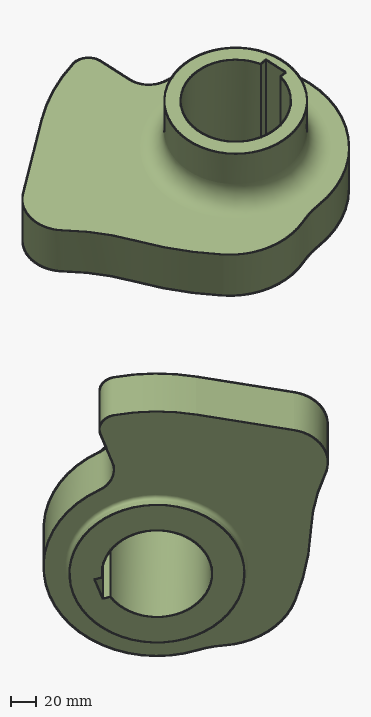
import cadquery as cq
import math

plate_thickness = 47.5
hub_height = 53.76
boss_height = 8.5

hub_radius = 110.0 / 2
hub_fillet = 18.5
boss_radius = 135.0 / 2
boss_fillet = 3.0
bore_radius = 85.0 / 2
key_width = 20.0
key_depth = 4.9

base_radius = 87.5
outer_radius = 152.4
nose_radius = 14.5
step_y = 0.0
step_fillet = 23.0
flank_angle = 210.0
toe_radius = 32.5
toe_lowest_y = -159.2
heel_radius = 64.0
heel_reach_x = 91.25
heel_center_y = -39.0
crown_radius = 255.0
crown_contact_angle = -53.5
hollow_radius = 175.0
side_hollow_radius = 75.0

AXIS = (0.0, 0.0)


def polar(center, radius, angle):
    """Point at a distance and an angle (degrees) from a centre."""
    a = math.radians(angle)
    return (center[0] + radius * math.cos(a), center[1] + radius * math.sin(a))


def toward(start, end, distance):
    """Point at a distance from start along the line to end."""
    t = distance / math.dist(start, end)
    return (start[0] + t * (end[0] - start[0]), start[1] + t * (end[1] - start[1]))


def equidistant(center_a, radius_a, center_b, radius_b):
    """Crossing of two circles that lies to the right of the way from a to b."""
    span = math.dist(center_a, center_b)
    along = (span**2 + radius_a**2 - radius_b**2) / (2 * span)
    across = math.sqrt(radius_a**2 - along**2)
    ux = (center_b[0] - center_a[0]) / span
    uy = (center_b[1] - center_a[1]) / span
    return (center_a[0] + along * ux + across * uy, center_a[1] + along * uy - across * ux)


def arc_to(sketch, start, end, center):
    """Add the minor arc about a centre."""
    middle = ((start[0] + end[0]) / 2, (start[1] + end[1]) / 2)
    return sketch.threePointArc(toward(center, middle, math.dist(center, start)), end)


def cam_outline():
    """Closed chain of tangent arcs and two straight edges."""
    step_center_y = step_y + step_fillet
    step_center_x = -math.sqrt((base_radius + step_fillet) ** 2 - step_center_y**2)
    step_center = (step_center_x, step_center_y)
    nose_center_y = step_y - nose_radius
    nose_center_x = -math.sqrt((outer_radius - nose_radius) ** 2 - nose_center_y**2)
    nose_center = (nose_center_x, nose_center_y)
    normal_x, normal_y = polar(AXIS, 1.0, flank_angle)
    toe_center_y = toe_lowest_y + toe_radius
    toe_center_x = (outer_radius - toe_radius - normal_y * toe_center_y) / normal_x
    toe_center = (toe_center_x, toe_center_y)
    heel_center = (heel_reach_x - heel_radius, heel_center_y)
    crown_center = polar(heel_center, heel_radius - crown_radius, crown_contact_angle)
    hollow_center = equidistant(
        toe_center, toe_radius + hollow_radius, crown_center, crown_radius + hollow_radius
    )
    side_center = equidistant(
        heel_center, heel_radius + side_hollow_radius, AXIS, base_radius + side_hollow_radius
    )

    base_end = toward(AXIS, step_center, base_radius)
    step_start = (step_center_x, step_y)
    step_end = (nose_center_x, step_y)
    nose_end = toward(AXIS, nose_center, outer_radius)
    flank_start = polar(AXIS, outer_radius, flank_angle)
    flank_end = polar(toe_center, toe_radius, flank_angle)
    toe_end = toward(toe_center, hollow_center, toe_radius)
    crown_start = toward(crown_center, hollow_center, crown_radius)
    crown_end = polar(heel_center, heel_radius, crown_contact_angle)
    heel_end = toward(heel_center, side_center, heel_radius)
    base_start = toward(AXIS, side_center, base_radius)
    base_top = (0.0, base_radius)

    sketch = cq.Workplane("XY").moveTo(*base_start).threePointArc(base_top, base_end)
    sketch = arc_to(sketch, base_end, step_start, step_center)
    sketch = sketch.lineTo(*step_end)
    sketch = arc_to(sketch, step_end, nose_end, nose_center)
    sketch = arc_to(sketch, nose_end, flank_start, AXIS)
    sketch = sketch.lineTo(*flank_end)
    sketch = arc_to(sketch, flank_end, toe_end, toe_center)
    sketch = arc_to(sketch, toe_end, crown_start, hollow_center)
    sketch = arc_to(sketch, crown_start, crown_end, crown_center)
    sketch = arc_to(sketch, crown_end, heel_end, heel_center)
    sketch = arc_to(sketch, heel_end, base_start, side_center)
    return sketch.close()


def flared_cylinder(radius, height, fillet):
    """Cylinder on z = 0 whose foot flares out in a concave fillet."""
    return (
        cq.Workplane("XZ")
        .lineTo(radius + fillet, 0)
        .radiusArc((radius, fillet), fillet)
        .lineTo(radius, height)
        .lineTo(0, height)
        .close()
        .revolve(360, (0, 0, 0), (0, 1, 0))
    )


def keyed_bore():
    """Through bore with a keyway on the +Y side."""
    total_height = boss_height + plate_thickness + hub_height
    key_top = bore_radius + key_depth
    bore = cq.Workplane("XY").circle(bore_radius).extrude(total_height)
    key = cq.Workplane("XY").center(0, key_top / 2).rect(key_width, key_top).extrude(total_height)
    return bore.union(key).translate((0, 0, -boss_height))


plate = cam_outline().extrude(plate_thickness)
hub = flared_cylinder(hub_radius, hub_height, hub_fillet).translate((0, 0, plate_thickness))
boss = flared_cylinder(boss_radius, boss_height, boss_fillet).mirror("XY")

result = plate.union(hub).union(boss).cut(keyed_bore())